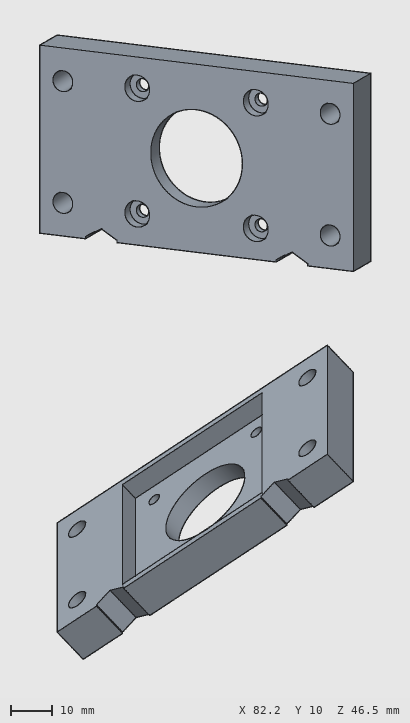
import cadquery as cq

length = 82.2
thickness = 10.0
height = 46.5
front_y = -thickness / 2

bore_diameter = 24.0

recess_side = 42.5
web_thickness = thickness / 2

corner_hole_diameter = 5.2
corner_hole_x = 35.0
corner_hole_z = 15.05

screw_hole_diameter = 3.2
counterbore_diameter = 6.5
counterbore_depth = 3.05
screw_offset = 15.5

notch_x = 25.0
notch_width = 8.2
notch_height = 3.0
notch_wall_height = 0.6


def cylinders(diameter, depth, spacing_x, spacing_z):
    """Four cylinders running inward (+Y) from the front face."""
    return (
        cq.Workplane("XZ", origin=(0, front_y, 0))
        .rarray(spacing_x, spacing_z, 2, 2)
        .circle(diameter / 2)
        .extrude(-depth)
    )


def notch(center_x):
    """Pentagonal cutter: short vertical walls topped by a pointed roof."""
    bottom = -height / 2
    left = center_x - notch_width / 2
    right = center_x + notch_width / 2
    outline = [
        (left, bottom),
        (left, bottom + notch_wall_height),
        (center_x, bottom + notch_height),
        (right, bottom + notch_wall_height),
        (right, bottom),
    ]
    return (
        cq.Workplane("XZ", origin=(0, front_y, 0))
        .polyline(outline)
        .close()
        .extrude(-thickness)
    )


plate = cq.Workplane("XY").box(length, thickness, height)
bore = cq.Workplane("XZ", origin=(0, front_y, 0)).circle(bore_diameter / 2).extrude(-thickness)
recess = (
    cq.Workplane("XZ", origin=(0, front_y + web_thickness, 0))
    .rect(recess_side, recess_side)
    .extrude(web_thickness - thickness)
)
corner_holes = cylinders(corner_hole_diameter, thickness, 2 * corner_hole_x, 2 * corner_hole_z)
screw_holes = cylinders(screw_hole_diameter, thickness, 2 * screw_offset, 2 * screw_offset)
counterbores = cylinders(counterbore_diameter, counterbore_depth, 2 * screw_offset, 2 * screw_offset)

result = plate.cut(bore).cut(recess).cut(corner_holes).cut(screw_holes).cut(counterbores)
for center_x in (-notch_x, notch_x):
    result = result.cut(notch(center_x))